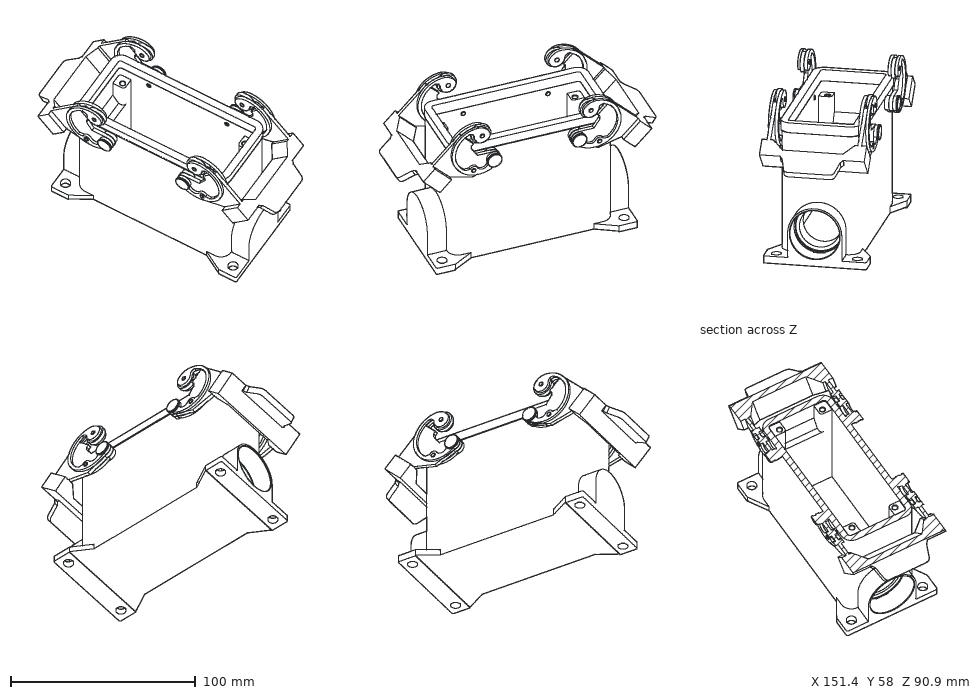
import cadquery as cq
import math

BODY_HALF_LENGTH = 47.4
BODY_HALF_WIDTH = 21.7
BODY_BOTTOM = 0.5
BODY_TOP = 77.3
BODY_CORNER = 6.4
EDGE_BEVEL = 0.3
RIM_HALF_LENGTH = 47.5
RIM_HALF_WIDTH = 22.3
RIM_BOTTOM = 71.7
CAVITY_HALF_LENGTH = 43.2
CAVITY_HALF_WIDTH = 17.9
END_WALL_MIDDLE_X = (BODY_HALF_LENGTH + CAVITY_HALF_LENGTH) / 2
CAVITY_CORNER = 1.5
MOUTH_CLEARANCE = 0.2
MOUTH_BOTTOM = 70.9
FLOOR_TOP = 4.5

LEDGE_INNER_X = 35.9
LEDGE_SLOPE_END_X = 39.5
LEDGE_TOP_AT_WALL = 53.6
LEDGE_TOP_AT_EDGE = 48.5

POST_INNER_X = LEDGE_INNER_X
POST_INNER_Y = 10.8
POST_TOP = 64.5
POST_CORNER = 1.7
SCREW_X = 38.6
SCREW_Y = 13.5
SCREW_RADIUS = 1.4
SCREW_DEPTH = 18.2

FOOT_END = 58.6
FOOT_HALF_WIDTH = 28.5
FOOT_SHOULDER_X = 47.5
FOOT_TAPER_X = 35.8
FOOT_TOP = 4.1
FOOT_CORNER = 0.9
FOOT_HOLE_X = 53.0
FOOT_HOLE_Y = 22.4
FOOT_HOLE_RADIUS = 2.7
BOSS_RADIUS = 15.0
BOSS_Z = 18.0
ENTRY_RADIUS = 13.8
ENTRY_STEP_X = 47.4
ENTRY_BORE_RADIUS = 11.2
ENTRY_STEP_RADIUS = 13.2
ENTRY_STEP_LENGTH = 1.7

LEVER_INNER_Y = 22.3
ARM_INNER_Y = 24.1
ARM_OUTER_Y = 26.2
LEVER_OUTER_Y = 27.7
PIN_END_Y = 28.0
LEVER_WIDTH = 58.0
LEVER_HALF_WIDTH = LEVER_WIDTH / 2
PIN_INNER_PROTRUSION = 0.5

LEVER_TOP = 90.9
HOOK_RING_RADIUS = 15.5
HOOK_RING_BORE = 13.5
HOOK_CENTER = (-33.8, LEVER_TOP - HOOK_RING_RADIUS)
ROLLER_CENTER = (-31.7, 85.1)
ROLLER_RADIUS = 5.6
HOOK_TIP_RADIUS = 4.5
PIVOT = (-24.7, 67.4)
PIVOT_RADIUS = 4.0
PIVOT_CAP_RADIUS = 4.2
TAIL_PIN = (-36.7, 63.3)
TAIL_BOSS_RADIUS = 2.5
PLATE_DIP = (-31.0, 63.0)
PIN_RADIUS = 1.29

RING_START_ANGLE = 310
RING_TOP_ANGLE = 95
RING_MIDDLE_ANGLE = 200
RING_BORE_TOP_ANGLE = 114
RING_BORE_END_ANGLE = 234
HOOK_TIP_START_ANGLE = 25
TAIL_BOSS_START_ANGLE = 150
TAIL_BOSS_END_ANGLE = 25
PLATE_DIP_END_ANGLE = 205

ARM_LENGTH = 21.4
ARM_BELLY = (-36.5, 58.0)
ARM_TIP = (-36.2, 80.0)
ARM_NOTCH_X = -37.4
ARM_NOTCH_TOP = 78.6
ARM_NOTCH_BOTTOM = 76.8
ARM_SHELF_X = -34.0

BAR_DEPTH = 13.8
BAR_THICKNESS = 9.5
BAR_RELIEF = 5.8
RELIEF_HALF_WIDTH = 16.7
RELIEF_OPENING_HALF_WIDTH = 22.5
TAB_ANGLE = 32
TAB_TIP = (-75.7, 58.8)
TAB_THICKNESS = 3.8
TAB_LENGTH = 12.1
TAB_FLARE_START = 9.1
TAB_FLARE_END = 10.6
TAB_TIP_HALF_WIDTH = 13.6
TAB_NECK_HALF_WIDTH = 16.0
TAB_ROOT_HALF_WIDTH = 17.4
TAB_CORNER = 2.7

DIAGONAL = math.sqrt(0.5)


def rounded_block(half_length, half_width, bottom, top, corner):
    block = cq.Workplane("XY", origin=(0, 0, bottom)).rect(2 * half_length, 2 * half_width)
    return block.extrude(top - bottom).edges("|Z").fillet(corner)


def mirrored_pair(solid, plane):
    return solid.union(solid.mirror(plane))


def front_plane(y_inner):
    """XZ plane on the -Y side; extruding moves away from the housing."""
    return cq.Workplane("XZ", origin=(0, -y_inner, 0))


def disc(center, radius, y_inner, y_outer):
    return front_plane(y_inner).center(*center).circle(radius).extrude(y_outer - y_inner)


def point_on_circle(center, radius, degrees):
    angle = math.radians(degrees)
    return (center[0] + radius * math.cos(angle), center[1] + radius * math.sin(angle))


def make_shell():
    body = rounded_block(BODY_HALF_LENGTH, BODY_HALF_WIDTH, BODY_BOTTOM, BODY_TOP, BODY_CORNER)
    rim = rounded_block(RIM_HALF_LENGTH, RIM_HALF_WIDTH, RIM_BOTTOM, BODY_TOP, BODY_CORNER)
    return body.union(rim)


def make_cavity():
    cavity = rounded_block(CAVITY_HALF_LENGTH, CAVITY_HALF_WIDTH, FLOOR_TOP, BODY_TOP, CAVITY_CORNER)
    mouth = rounded_block(
        CAVITY_HALF_LENGTH + MOUTH_CLEARANCE,
        CAVITY_HALF_WIDTH + MOUTH_CLEARANCE,
        MOUTH_BOTTOM,
        BODY_TOP,
        CAVITY_CORNER,
    )
    return cavity.union(mouth)


def make_ledge():
    """Thick lower end wall of the cavity at the -X end."""
    profile = [
        (-END_WALL_MIDDLE_X, FLOOR_TOP),
        (-LEDGE_INNER_X, FLOOR_TOP),
        (-LEDGE_INNER_X, LEDGE_TOP_AT_EDGE),
        (-LEDGE_SLOPE_END_X, LEDGE_TOP_AT_EDGE),
        (-CAVITY_HALF_LENGTH, LEDGE_TOP_AT_WALL),
        (-END_WALL_MIDDLE_X, LEDGE_TOP_AT_WALL),
    ]
    ledge = cq.Workplane("XZ").polyline(profile).close()
    return ledge.extrude(CAVITY_HALF_WIDTH, both=True)


def make_post():
    """Screw post in the -X, -Y corner of the cavity, reaching into the walls."""
    wall_x = END_WALL_MIDDLE_X
    wall_y = (BODY_HALF_WIDTH + CAVITY_HALF_WIDTH) / 2
    post = cq.Workplane("XY").box(
        wall_x - POST_INNER_X, wall_y - POST_INNER_Y, POST_TOP - FLOOR_TOP, centered=False
    )
    post = post.translate((-wall_x, -wall_y, FLOOR_TOP))
    post = post.edges("|Z and >X and >Y").fillet(POST_CORNER)
    screw_mouth = cq.Workplane("XY", origin=(-SCREW_X, -SCREW_Y, POST_TOP))
    post = post.cut(screw_mouth.circle(SCREW_RADIUS).extrude(-SCREW_DEPTH))
    countersink = screw_mouth.circle(SCREW_RADIUS + EDGE_BEVEL).extrude(-EDGE_BEVEL, taper=45)
    return post.cut(countersink)


def make_foot():
    """Mounting flange at the -X end; its tapered ears sit level with the body bottom."""
    outline = [
        (-FOOT_TAPER_X, -BODY_HALF_WIDTH),
        (-FOOT_SHOULDER_X, -FOOT_HALF_WIDTH),
        (-FOOT_END, -FOOT_HALF_WIDTH),
        (-FOOT_END, FOOT_HALF_WIDTH),
        (-FOOT_SHOULDER_X, FOOT_HALF_WIDTH),
        (-FOOT_TAPER_X, BODY_HALF_WIDTH),
    ]
    foot = cq.Workplane("XY").polyline(outline).close().extrude(FOOT_TOP)
    foot = foot.edges("|Z and <X").fillet(FOOT_CORNER)
    ear_relief = cq.Workplane("XY").box(
        2 * FOOT_SHOULDER_X, 2 * FOOT_HALF_WIDTH, BODY_BOTTOM, centered=(True, True, False)
    )
    holes = cq.Workplane("XY").pushPoints([(-FOOT_HOLE_X, -FOOT_HOLE_Y), (-FOOT_HOLE_X, FOOT_HOLE_Y)])
    holes = holes.circle(FOOT_HOLE_RADIUS).extrude(FOOT_TOP)
    return foot.cut(ear_relief).cut(holes)


def make_cable_boss():
    """Arched boss at the -X end, standing on the foot."""
    boss = (
        cq.Workplane("YZ", origin=(-FOOT_END, 0, 0))
        .moveTo(-BOSS_RADIUS, 0)
        .lineTo(-BOSS_RADIUS, BOSS_Z)
        .threePointArc((0, BOSS_Z + BOSS_RADIUS), (BOSS_RADIUS, BOSS_Z))
        .lineTo(BOSS_RADIUS, 0)
        .close()
    )
    return boss.extrude(FOOT_END - FOOT_SHOULDER_X)


def entry_cylinder(radius, x_start, x_end):
    circle = cq.Workplane("YZ", origin=(x_start, 0, BOSS_Z)).circle(radius)
    return circle.extrude(x_end - x_start)


def make_cable_entry():
    """Stepped bore from the -X end into the cavity."""
    recess = entry_cylinder(ENTRY_RADIUS, -FOOT_END, -ENTRY_STEP_X)
    mouth = cq.Workplane("YZ", origin=(-FOOT_END, 0, BOSS_Z)).circle(ENTRY_RADIUS + EDGE_BEVEL)
    recess = recess.union(mouth.extrude(EDGE_BEVEL, taper=45))
    step = entry_cylinder(ENTRY_STEP_RADIUS, -ENTRY_STEP_X, -ENTRY_STEP_X + ENTRY_STEP_LENGTH)
    bore = entry_cylinder(ENTRY_BORE_RADIUS, -ENTRY_STEP_X, -LEDGE_INNER_X)
    return recess.union(step).union(bore)


def arm_corner():
    """Where the arm's outer edge, a 45 degree tangent of the hook ring, meets the bar."""
    tangent = point_on_circle(HOOK_CENTER, HOOK_RING_RADIUS, 135)
    return (tangent[0] - ARM_LENGTH * DIAGONAL, tangent[1] - ARM_LENGTH * DIAGONAL)


def make_arm():
    """Middle plate of one lever side, ending in a notched 45 degree edge."""
    corner = arm_corner()
    bar_corner = (corner[0] + BAR_DEPTH * DIAGONAL, corner[1] - BAR_DEPTH * DIAGONAL)
    edge_offset = corner[1] - corner[0]
    peak_x = (ARM_TIP[0] + ARM_TIP[1] - edge_offset) / 2
    outline = [
        corner,
        (peak_x, peak_x + edge_offset),
        ARM_TIP,
        (ARM_NOTCH_X, ARM_NOTCH_TOP),
        (ARM_NOTCH_X, ARM_NOTCH_BOTTOM),
        (ARM_SHELF_X, RIM_BOTTOM),
        (PIVOT[0], PIVOT[1] + PIVOT_CAP_RADIUS),
        (PIVOT[0], PIVOT[1] - PIVOT_CAP_RADIUS),
        ARM_BELLY,
        bar_corner,
    ]
    arm = front_plane(ARM_INNER_Y).polyline(outline).close().extrude(ARM_OUTER_Y - ARM_INNER_Y)
    return arm.union(disc(PIVOT, PIVOT_CAP_RADIUS, ARM_INNER_Y, ARM_OUTER_Y))


def make_hook_plate(y_inner, y_outer):
    """C-shaped side plate running from the pivot round to the hook tip."""
    hook_top = point_on_circle(HOOK_CENTER, HOOK_RING_RADIUS, RING_TOP_ANGLE)
    hook_tip_start = point_on_circle(ROLLER_CENTER, HOOK_TIP_RADIUS, HOOK_TIP_START_ANGLE)
    bore_top = point_on_circle(HOOK_CENTER, HOOK_RING_BORE, RING_BORE_TOP_ANGLE)
    plate = (
        front_plane(y_inner)
        .moveTo(*point_on_circle(HOOK_CENTER, HOOK_RING_RADIUS, RING_START_ANGLE))
        .threePointArc(point_on_circle(HOOK_CENTER, HOOK_RING_RADIUS, RING_MIDDLE_ANGLE), hook_top)
        .tangentArcPoint(hook_tip_start, relative=False)
        .threePointArc(
            point_on_circle(ROLLER_CENTER, HOOK_TIP_RADIUS, 270),
            point_on_circle(ROLLER_CENTER, HOOK_TIP_RADIUS, 180),
        )
        .tangentArcPoint(bore_top, relative=False)
        .threePointArc(
            point_on_circle(HOOK_CENTER, HOOK_RING_BORE, RING_MIDDLE_ANGLE),
            point_on_circle(HOOK_CENTER, HOOK_RING_BORE, RING_BORE_END_ANGLE),
        )
        .lineTo(*point_on_circle(TAIL_PIN, TAIL_BOSS_RADIUS, TAIL_BOSS_START_ANGLE))
        .threePointArc(
            point_on_circle(TAIL_PIN, TAIL_BOSS_RADIUS, 90),
            point_on_circle(TAIL_PIN, TAIL_BOSS_RADIUS, TAIL_BOSS_END_ANGLE),
        )
        .threePointArc(PLATE_DIP, point_on_circle(PIVOT, PIVOT_RADIUS, PLATE_DIP_END_ANGLE))
        .lineTo(*PIVOT)
        .close()
        .extrude(y_outer - y_inner)
    )
    return plate.union(disc(PIVOT, PIVOT_RADIUS, y_inner, y_outer))


def make_lever_side():
    """Arm, hook plates, roller and pins on the -Y side of the -X lever."""
    side = make_arm()
    for y_inner, y_outer in ((LEVER_INNER_Y, ARM_INNER_Y), (ARM_OUTER_Y, LEVER_OUTER_Y)):
        side = side.union(make_hook_plate(y_inner, y_outer))
    side = side.union(disc(ROLLER_CENTER, ROLLER_RADIUS, ARM_INNER_Y, ARM_OUTER_Y))
    for pin_center in (ROLLER_CENTER, TAIL_PIN):
        pin = disc(pin_center, PIN_RADIUS, LEVER_INNER_Y - EDGE_BEVEL, PIN_END_Y)
        side = side.union(pin.faces("<Y").chamfer(EDGE_BEVEL))
    inner_pin = disc(PIVOT, PIN_RADIUS, CAVITY_HALF_WIDTH - PIN_INNER_PROTRUSION, BODY_HALF_WIDTH)
    side = side.union(inner_pin.faces(">Y").chamfer(EDGE_BEVEL))
    side = side.union(disc(PIVOT, PIVOT_RADIUS, BODY_HALF_WIDTH, PIN_END_Y))
    cap = disc(PIVOT, PIVOT_CAP_RADIUS, PIN_END_Y, LEVER_HALF_WIDTH)
    return side.union(cap.faces("<Y").chamfer(EDGE_BEVEL))


def make_handle_bar():
    corner = arm_corner()
    outline = [
        (0, -LEVER_HALF_WIDTH),
        (BAR_THICKNESS, -LEVER_HALF_WIDTH),
        (BAR_THICKNESS, LEVER_HALF_WIDTH),
        (0, LEVER_HALF_WIDTH),
        (0, RELIEF_OPENING_HALF_WIDTH),
        (BAR_RELIEF, RELIEF_HALF_WIDTH),
        (BAR_RELIEF, -RELIEF_HALF_WIDTH),
        (0, -RELIEF_OPENING_HALF_WIDTH),
    ]
    plane = cq.Plane(origin=(corner[0], 0, corner[1]), xDir=(-1, 0, -1), normal=(1, 0, -1))
    return cq.Workplane(plane).polyline(outline).close().extrude(BAR_DEPTH)


def make_thumb_tab():
    slope = math.radians(TAB_ANGLE)
    half_outline = [
        (0, TAB_TIP_HALF_WIDTH),
        (TAB_FLARE_START, TAB_NECK_HALF_WIDTH),
        (TAB_FLARE_END, TAB_ROOT_HALF_WIDTH),
        (TAB_LENGTH, TAB_ROOT_HALF_WIDTH),
    ]
    other_half = [(along, -across) for along, across in reversed(half_outline)]
    plane = cq.Plane(
        origin=(TAB_TIP[0], 0, TAB_TIP[1]),
        xDir=(math.cos(slope), 0, math.sin(slope)),
        normal=(math.sin(slope), 0, -math.cos(slope)),
    )
    tab = cq.Workplane(plane).polyline(half_outline + other_half).close().extrude(TAB_THICKNESS)
    tip_face = tab.faces(cq.selectors.DirectionMinMaxSelector(plane.xDir, directionMax=False))
    across_thickness = cq.selectors.ParallelDirSelector(plane.zDir)
    return tip_face.edges(across_thickness).fillet(TAB_CORNER)


def make_lever():
    lever = mirrored_pair(make_lever_side(), "XZ")
    return lever.union(make_handle_bar()).union(make_thumb_tab())


housing = make_shell()
housing = housing.union(mirrored_pair(make_foot().union(make_cable_boss()), "YZ"))
housing = housing.cut(make_cavity())

end_fittings = make_ledge()
end_fittings = end_fittings.union(mirrored_pair(make_post(), "XZ"))
housing = housing.union(mirrored_pair(end_fittings, "YZ"))
housing = housing.cut(make_cable_entry())

result = housing.union(mirrored_pair(make_lever(), "YZ"))